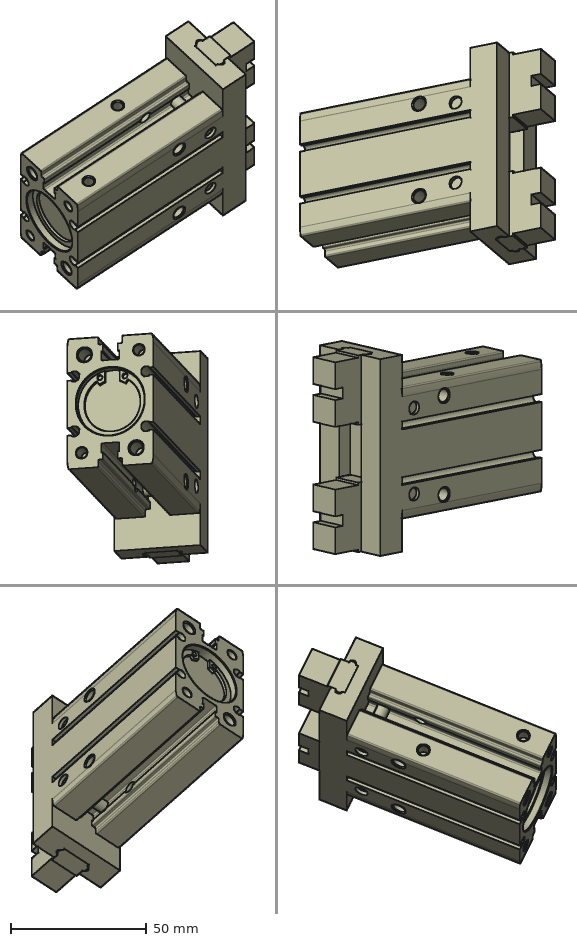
import cadquery as cq
import math

width = 33.0
total_length = 94.2
body_height = 50.0
body_length = 70.2
flange_height = 74.6
flange_face_y = 81.2

edge_relief_start = 21.6
edge_relief_end = 24.5
edge_relief_inset = 0.4
edge_round = 0.6

slot_mouth_width = 9.1
slot_mouth_depth = 2.9
slot_neck_width = 5.6
slot_undercut_depth = 5.6
slot_undercut_width = 6.8
slot_depth = 9.09
slot_lip_round = 0.6
slot_step_round = 0.7
slot_neck_round = 0.3
slot_floor_round = 0.6

groove_z = 10.55
groove_diameter = 4.0
groove_mouth = 3.0
groove_lip_depth = 1.7
groove_centre_depth = 2.7

bore_diameter = 26.0
bore_chamfer = 0.3
ring_face_depth = 3.0
ring_thickness = 1.2
ring_inner_radius = 10.7
ring_gap = 5.6
ear_inner_radius = 9.0
ear_angle = 33.5
ear_hole_diameter = 2.0
ear_hole_x = 4.8
ear_hole_z = 10.3

mount_hole_diameter = 5.0
mount_hole_x = 9.9
mount_hole_z = 18.6
mount_hole_depth = 9.4
dowel_hole_diameter = 4.1
dowel_hole_x = 10.9
dowel_hole_z = 19.0
dowel_hole_depth = 7.5
port_diameter = 4.0
port_x = 10.3
port_ys = (10.5, 41.8)
port_depth = 5.65
cross_hole_diameter = 4.9
cross_hole_y = 49.1
cross_hole_z = 18.7
hole_chamfer = 0.5
dowel_hole_chamfer = 0.2

pivot_diameter = 5.0
pivot_y = 64.15
pivot_z = 16.3
pivot_recess = 1.5

jaw_width = 12.1
jaw_floor_y = 75.55
jaw_base_height = 26.4
jaw_base_end_y = 82.7
jaw_head_height = 24.5
jaw_notch_width = 4.1
jaw_notch_depth = 3.9
race_y = 77.9
race_radius = 1.4
jaw_bead_height = 0.85

half_width = width / 2
half_height = body_height / 2


def along_y(sketch_points, start_y, end_y):
    """Prism along Y of a closed polygon of (x, z) points."""
    return (
        cq.Workplane("XZ", origin=(0, start_y, 0))
        .polyline(sketch_points)
        .close()
        .extrude(start_y - end_y)
    )


def cylinder(diameter, length, start, direction):
    return cq.Workplane(cq.Solid.makeCylinder(diameter / 2, length, cq.Vector(*start), cq.Vector(*direction)))


def countersink(diameter, chamfer, start, direction):
    """Conical mouth that widens a hole by the chamfer on each side."""
    radius = diameter / 2
    cone = cq.Solid.makeCone(radius + chamfer, radius, chamfer, cq.Vector(*start), cq.Vector(*direction))
    return cq.Workplane(cone)


def chamfered_hole(diameter, depth, chamfer, start, direction):
    hole = cylinder(diameter, depth, start, direction)
    return hole.union(countersink(diameter, chamfer, start, direction))


def mirrored_z(shape):
    return shape.mirror("XY")


def body_blank():
    """Body with a bulged relief and a round along each of its four long edges."""
    relief_x = half_width - edge_relief_inset
    relief_chord = edge_relief_end - edge_relief_start
    round_mid = edge_round * (1 - math.sqrt(0.5))

    def corner(outline, sx, sz, from_side):
        side = (sx * half_width, sz * edge_relief_start)
        bulge = (sx * (half_width - edge_relief_inset / 4), sz * (edge_relief_start + relief_chord / 2))
        relief = (sx * relief_x, sz * edge_relief_end)
        round_middle = (sx * (relief_x - round_mid), sz * (half_height - round_mid))
        top = (sx * (relief_x - edge_round), sz * half_height)
        if from_side:
            outline = outline.lineTo(*side).threePointArc(bulge, relief)
            return outline.threePointArc(round_middle, top)
        outline = outline.lineTo(*top).threePointArc(round_middle, relief)
        return outline.threePointArc(bulge, side)

    outline = cq.Workplane("XZ").moveTo(half_width, 0)
    outline = corner(outline, 1, 1, True)
    outline = corner(outline, -1, 1, False)
    outline = corner(outline, -1, -1, True)
    outline = corner(outline, 1, -1, False)
    return outline.close().extrude(-body_length)


def flange():
    thickness = flange_face_y - body_length
    return cq.Workplane("XY").box(width, thickness, flange_height).translate((0, body_length + thickness / 2, 0))


def t_slot():
    """T-slot in the top of the body, open at the rear and ending at the flange."""
    mouth = slot_mouth_width / 2
    neck = slot_neck_width / 2
    undercut = slot_undercut_width / 2
    step_z = half_height - slot_mouth_depth
    undercut_z = half_height - slot_undercut_depth
    floor_z = half_height - slot_depth
    right_side = [
        (mouth, half_height),
        (mouth, step_z),
        (neck, step_z),
        (neck, undercut_z),
        (undercut, undercut_z),
        (undercut, floor_z),
    ]
    left_side = [(-x, z) for x, z in reversed(right_side)]
    slot = along_y(right_side + left_side, 0, body_length)
    rounds = (
        (mouth, step_z, slot_step_round),
        (neck, step_z, slot_neck_round),
        (undercut, floor_z, slot_floor_round),
    )
    for x, z, radius in rounds:
        for side in (-1, 1):
            corner_line = cq.selectors.BoxSelector(
                (side * x - 0.1, 0, z - 0.1), (side * x + 0.1, body_length, z + 0.1)
            )
            slot = slot.edges(corner_line).fillet(radius)
    return slot


def round_slot_lips(body):
    """Round the outer edges of both T-slot mouths."""
    for side in (-1, 1):
        for level in (-1, 1):
            x = side * slot_mouth_width / 2
            z = level * half_height
            lip = cq.selectors.BoxSelector((x - 0.1, 0, z - 0.1), (x + 0.1, body_length, z + 0.1))
            body = body.edges(lip).fillet(slot_lip_round)
    return body


def sensor_groove(side, z):
    """Round channel behind a narrower mouth, along the full body."""
    radius = groove_diameter / 2
    mouth = groove_mouth / 2
    lip_offset = groove_centre_depth - groove_lip_depth
    lip_half_height = math.sqrt(radius**2 - lip_offset**2)
    outer_x = side * half_width
    lip_x = side * (half_width - groove_lip_depth)
    deepest_x = side * (half_width - groove_centre_depth - radius)
    return (
        cq.Workplane("XZ")
        .moveTo(outer_x, z - mouth)
        .lineTo(lip_x, z - mouth)
        .lineTo(lip_x, z - lip_half_height)
        .threePointArc((deepest_x, z), (lip_x, z + lip_half_height))
        .lineTo(lip_x, z + mouth)
        .lineTo(outer_x, z + mouth)
        .close()
        .extrude(-body_length)
    )


def bore():
    """Bore down to the end cap, with a small chamfer at its mouth."""
    return chamfered_hole(bore_diameter, ring_face_depth + ring_thickness, bore_chamfer, (0, 0, 0), (0, 1, 0))


def retaining_ring():
    """Open ring against the end cap, with a drilled ear on each side of its gap."""
    ring_plane = cq.Workplane("XZ", origin=(0, ring_face_depth, 0))
    band = ring_plane.circle(bore_diameter / 2).circle(ring_inner_radius).extrude(-ring_thickness)
    ear_band = ring_plane.circle(bore_diameter / 2).circle(ear_inner_radius).extrude(-ring_thickness)
    reach = bore_diameter
    ear_half_span = reach * math.tan(math.radians(ear_angle))
    ear_sector = [(0, 0), (ear_half_span, reach), (-ear_half_span, reach)]
    ring_back_y = ring_face_depth + ring_thickness
    ears = ear_band.intersect(along_y(ear_sector, ring_face_depth, ring_back_y))
    gap = [(-ring_gap / 2, 0), (ring_gap / 2, 0), (ring_gap / 2, reach), (-ring_gap / 2, reach)]
    ring = band.union(ears).cut(along_y(gap, ring_face_depth, ring_back_y))
    for side in (-1, 1):
        ear_hole_start = (side * ear_hole_x, ring_face_depth, ear_hole_z)
        ring = ring.cut(cylinder(ear_hole_diameter, ring_thickness, ear_hole_start, (0, 1, 0)))
    return ring


def rear_holes():
    """Two mounting holes and two dowel holes, each pair on opposite corners."""
    holes = cq.Workplane()
    for side in (-1, 1):
        mount = (side * mount_hole_x, 0, -side * mount_hole_z)
        dowel = (side * dowel_hole_x, 0, side * dowel_hole_z)
        holes = holes.add(
            chamfered_hole(mount_hole_diameter, mount_hole_depth, hole_chamfer, mount, (0, 1, 0))
        )
        holes = holes.add(
            chamfered_hole(dowel_hole_diameter, dowel_hole_depth, dowel_hole_chamfer, dowel, (0, 1, 0))
        )
    return holes.combine()


def ports():
    """Two air ports in the top face, one on each side of the T-slot."""
    holes = cq.Workplane()
    for side, y in zip((1, -1), port_ys):
        start = (side * port_x, y, half_height)
        holes = holes.add(chamfered_hole(port_diameter, port_depth, hole_chamfer, start, (0, 0, -1)))
    return holes.combine()


def cross_hole(z):
    """Hole across the full width, countersunk at both sides."""
    hole = cylinder(cross_hole_diameter, width, (-half_width, cross_hole_y, z), (1, 0, 0))
    for side in (-1, 1):
        mouth = (side * half_width, cross_hole_y, z)
        hole = hole.union(countersink(cross_hole_diameter, hole_chamfer, mouth, (-side, 0, 0)))
    return hole


def pivot_hole(z):
    return cylinder(pivot_diameter, width, (-half_width, pivot_y, z), (1, 0, 0))


def pivot_pin(z):
    """Pin across the T-slot, set in from both sides of the body."""
    half_length = half_width - pivot_recess
    return cq.Workplane("YZ").center(pivot_y, z).circle(pivot_diameter / 2).extrude(half_length, both=True)


def jaw_guide():
    """Guide slot over the flange's full height, with a round race along each jaw base."""
    depth = flange_face_y - jaw_floor_y
    guide = cq.Workplane("XY").box(jaw_width, depth, flange_height)
    guide = guide.translate((0, jaw_floor_y + depth / 2, 0))
    for side in (-1, 1):
        for level in (-1, 1):
            start = (side * jaw_width / 2, race_y, level * flange_height / 2)
            guide = guide.union(cylinder(2 * race_radius, jaw_base_height, start, (0, 0, -level)))
    return guide


def make_housing():
    body = body_blank()
    slot = t_slot()
    body = body.cut(slot).cut(mirrored_z(slot))
    body = round_slot_lips(body)
    for side in (-1, 1):
        for level in (-1, 1):
            body = body.cut(sensor_groove(side, level * groove_z))
    body = body.cut(bore()).union(retaining_ring())
    body = body.cut(rear_holes()).cut(ports())
    for level in (-1, 1):
        body = body.cut(cross_hole(level * cross_hole_z))
        body = body.cut(pivot_hole(level * pivot_z)).union(pivot_pin(level * pivot_z))
    return body.union(flange().cut(jaw_guide()))


def make_jaw(level):
    """Gripper jaw: beaded base riding in the guide and a notched head; level is 1 for the upper jaw."""
    half = jaw_width / 2
    outer_z = flange_height / 2
    base_z = outer_z - jaw_base_height / 2
    base = (
        cq.Workplane("XY", origin=(0, 0, outer_z - jaw_base_height))
        .moveTo(-half, jaw_floor_y)
        .lineTo(half, jaw_floor_y)
        .lineTo(half, race_y - race_radius)
        .threePointArc((half + jaw_bead_height, race_y), (half, race_y + race_radius))
        .lineTo(half, jaw_base_end_y)
        .lineTo(-half, jaw_base_end_y)
        .lineTo(-half, race_y + race_radius)
        .threePointArc((-half - jaw_bead_height, race_y), (-half, race_y - race_radius))
        .close()
        .extrude(jaw_base_height)
    )
    head_length = total_length - jaw_base_end_y
    head = cq.Workplane("XY").box(jaw_width, head_length, jaw_head_height)
    head = head.translate((0, jaw_base_end_y + head_length / 2, base_z))
    notch = cq.Workplane("XY").box(jaw_width, jaw_notch_depth, jaw_notch_width)
    notch = notch.translate((0, total_length - jaw_notch_depth / 2, base_z))
    jaw = base.union(head).cut(notch)
    return jaw if level > 0 else mirrored_z(jaw)


housing = make_housing()
jaws = [make_jaw(level) for level in (-1, 1)]

result = cq.Compound.makeCompound([housing.val(), *[jaw.val() for jaw in jaws]])